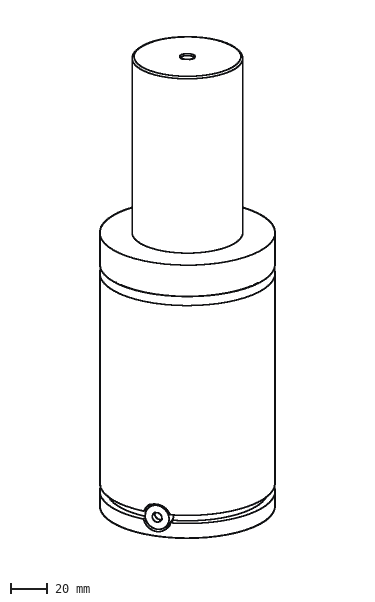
import cadquery as cq
import math

total_height = 262.0
body_diameter = 95.0
body_height = 159.3
rod_diameter = 60.0
rod_chamfer = 1.0

upper_groove_height = 138.3
upper_groove_radius = 2.5

lower_groove_bottom = 8.6
lower_groove_width = 4.7
lower_groove_depth = 4.0

plug_height = 10.7
plug_bore_diameter = 16.0
plug_diameter = 14.0
plug_face_recess = 0.8
plug_socket_diameter = 5.5
plug_socket_depth = 4.0
plug_length = 7.9

rod_hole_diameter = 6.8
rod_hole_mouth_diameter = 8.5
rod_hole_depth = 15.7
drill_point_angle = 118.0

body_radius = body_diameter / 2
plug_face_y = -(body_radius - plug_face_recess)


def make_body():
    """Cylinder with a round groove near the top and a square groove near the base."""
    body = cq.Workplane("XY").circle(body_radius).extrude(body_height)
    upper_groove = (
        cq.Workplane("XZ")
        .center(body_radius, upper_groove_height)
        .circle(upper_groove_radius)
        .revolve(360, (-body_radius, 0), (-body_radius, 1))
    )
    lower_groove = (
        cq.Workplane("XY")
        .workplane(offset=lower_groove_bottom)
        .circle(body_radius)
        .circle(body_radius - lower_groove_depth)
        .extrude(lower_groove_width)
    )
    return body.cut(upper_groove).cut(lower_groove)


def make_rod():
    """Piston rod, chamfered at its free end."""
    return (
        cq.Workplane("XY")
        .workplane(offset=body_height)
        .circle(rod_diameter / 2)
        .extrude(total_height - body_height)
        .faces(">Z")
        .chamfer(rod_chamfer)
    )


def make_rod_hole():
    """Countersunk blind hole with a conical drill point."""
    return (
        cq.Workplane("XY")
        .workplane(offset=total_height)
        .circle(rod_hole_mouth_diameter / 2)
        .workplane(offset=-(rod_hole_mouth_diameter - rod_hole_diameter) / 2)
        .circle(rod_hole_diameter / 2)
        .loft()
        .union(make_drilled_hole())
    )


def make_drilled_hole():
    """Straight part and pointed bottom of the rod hole."""
    radius = rod_hole_diameter / 2
    tip_depth = radius / math.tan(math.radians(drill_point_angle / 2))
    return (
        cq.Workplane("XZ")
        .moveTo(0, total_height)
        .lineTo(radius, total_height)
        .lineTo(radius, total_height - rod_hole_depth)
        .lineTo(0, total_height - rod_hole_depth - tip_depth)
        .close()
        .revolve(360, (0, 0), (0, 1))
    )


def front_cylinder(diameter, start_y, length):
    """Cylinder along +Y at the plug height, starting at start_y."""
    return (
        cq.Workplane("XZ", origin=(0, start_y, plug_height))
        .circle(diameter / 2)
        .extrude(-length)
    )


def make_plug():
    """Plain cylindrical plug with a round socket, standing on the floor of its bore."""
    plug = front_cylinder(plug_diameter, plug_face_y, plug_length)
    return plug.cut(front_cylinder(plug_socket_diameter, plug_face_y, plug_socket_depth))


plug_bore = front_cylinder(plug_bore_diameter, -body_radius, plug_face_recess + plug_length)

result = make_body().union(make_rod()).cut(make_rod_hole())
result = result.cut(plug_bore).union(make_plug())